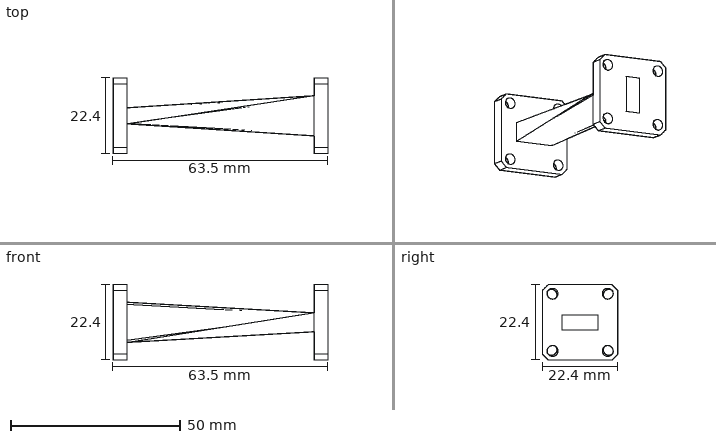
import cadquery as cq

length = 63.5
flange_side = 22.35
flange_thickness = 4.1
corner_chamfer = 1.8

hole_diameter = 3.2
hole_spacing_wide = 16.95
hole_spacing_narrow = 16.25

core_broad = 10.6
core_narrow = 4.45
tube_start_broad = 11.95
tube_start_narrow = 4.8
tube_end_broad = 11.95
tube_end_narrow = 5.65

start_x = -length / 2
twist_start_x = start_x + flange_thickness
twist_end_x = -twist_start_x


def block(x, thickness, size_y, size_z):
    """Rectangular block about the X axis, running from x toward +X."""
    return cq.Workplane("YZ", origin=(x, 0, 0)).rect(size_y, size_z).extrude(thickness)


def flange(x, spacing_y, spacing_z):
    """Square flange with chamfered corners and four through holes."""
    plate = block(x, flange_thickness, flange_side, flange_side).edges("|X").chamfer(corner_chamfer)
    holes = (
        cq.Workplane("YZ", origin=(x, 0, 0))
        .rect(spacing_y, spacing_z, forConstruction=True)
        .vertices()
        .circle(hole_diameter / 2)
        .extrude(flange_thickness)
    )
    return plate.cut(holes)


def section_corners(x, size_y, size_z):
    """Corners of a rectangle across X, in order around the axis from (-Y, -Z)."""
    half_y = size_y / 2
    half_z = size_z / 2
    return [
        cq.Vector(x, -half_y, -half_z),
        cq.Vector(x, -half_y, half_z),
        cq.Vector(x, half_y, half_z),
        cq.Vector(x, half_y, -half_z),
    ]


def twisted_bar(start_broad, start_narrow, end_broad, end_narrow):
    """Bar between the flanges; straight edges join each corner to the next one around."""
    start = section_corners(twist_start_x, start_narrow, start_broad)
    end = section_corners(twist_end_x, end_broad, end_narrow)
    end = end[1:] + end[:1]
    faces = [cq.Face.makeFromWires(cq.Wire.makePolygon(corners, close=True)) for corners in (start, end)]
    for i in range(len(start)):
        start_edge = cq.Edge.makeLine(start[i - 1], start[i])
        end_edge = cq.Edge.makeLine(end[i - 1], end[i])
        faces.append(cq.Face.makeRuledSurface(start_edge, end_edge))
    return cq.Workplane(cq.Solid.makeSolid(cq.Shell.makeShell(faces)).fix())


def make_core():
    """Twisted core with a straight stretch through each flange, flush with both end faces."""
    start_block = block(start_x, flange_thickness, core_narrow, core_broad)
    end_block = block(twist_end_x, flange_thickness, core_broad, core_narrow)
    bar = twisted_bar(core_broad, core_narrow, core_broad, core_narrow)
    return bar.union(start_block).union(end_block)


def make_housing(core):
    """Twisted tube and its two flanges, hollowed to fit the core."""
    start_flange = flange(start_x, hole_spacing_wide, hole_spacing_narrow)
    end_flange = flange(twist_end_x, hole_spacing_narrow, hole_spacing_wide)
    tube = twisted_bar(tube_start_broad, tube_start_narrow, tube_end_broad, tube_end_narrow)
    return tube.union(start_flange).union(end_flange).cut(core)


core = make_core()
housing = make_housing(core)

result = cq.Compound.makeCompound([housing.solids().val(), core.solids().val()])